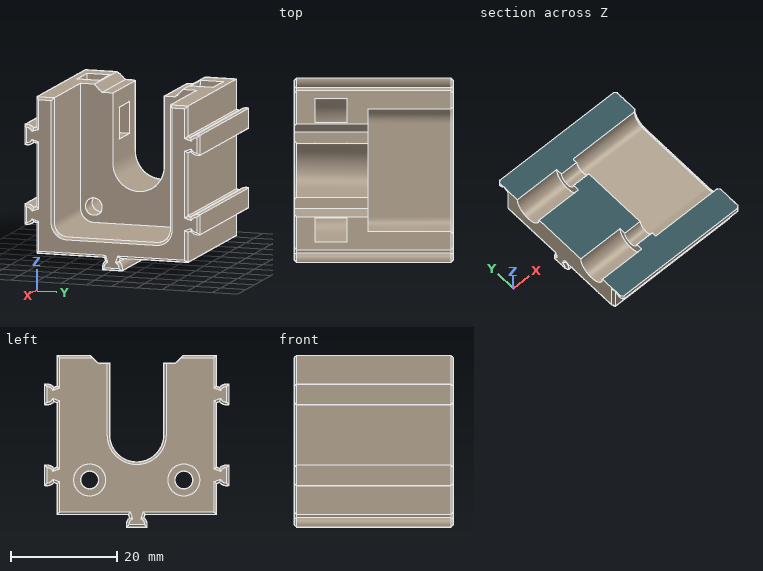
import cadquery as cq

body_size = 30.0
half_width = body_size / 2
edge_chamfer = 0.5

width_over_rails = 34.8
rail_height = (width_over_rails - body_size) / 2
rail_root_half = 1.55
rail_neck_half = 1.35
rail_neck_height = 0.6
rail_tip_half = 1.9
rail_flank_radius = 1.77
side_rail_offset = 7.62

slot_radius = 5.08
slot_center_z = body_size / 2

front_wall = 13.92
pocket_half_width = 11.52
pocket_floor_z = body_size / 2 - pocket_half_width
pocket_fillet = 2.65

seat_radius = 11.52
seat_center_z = 37.48
seat_flat_z = 28.5

channel_start_x = 3.95
channel_width = 6.02
channel_outer_y = 13.5
channel_inner_y = 9.0
channel_floor_z = 19.0
channel_bend_radius = 5.0

screw_y = 8.87
screw_z = 6.5
screw_diameter = 3.3
screw_head_diameter = 6.02
screw_head_depth = 10.0


def side_profile(x=0):
    """Sketch plane facing +X: local x is the part's Y, local y is its Z."""
    return cq.Workplane("YZ", origin=(x, 0, 0))


def rail():
    """Rail on the plane Z = 0 pointing down: flared root, narrow neck, bulging flanks."""
    return (
        side_profile()
        .moveTo(-rail_root_half, 0)
        .lineTo(-rail_neck_half, -rail_neck_height)
        .radiusArc((-rail_tip_half, -rail_height), -rail_flank_radius)
        .lineTo(rail_tip_half, -rail_height)
        .radiusArc((rail_neck_half, -rail_neck_height), -rail_flank_radius)
        .lineTo(rail_root_half, 0)
        .close()
        .extrude(body_size)
    )


def railed_body():
    block = side_profile().rect(body_size, body_size).extrude(body_size)
    bottom_rail = rail().translate((0, 0, -half_width))
    block = block.union(bottom_rail)
    for side in (-1, 1):
        side_rail = bottom_rail.rotate((0, 0, 0), (1, 0, 0), side * 90)
        for offset in (-side_rail_offset, side_rail_offset):
            block = block.union(side_rail.translate((0, 0, offset)))
    return block.translate((0, 0, half_width))


def slot():
    return (
        side_profile()
        .moveTo(-slot_radius, body_size)
        .lineTo(-slot_radius, slot_center_z)
        .threePointArc((0, slot_center_z - slot_radius), (slot_radius, slot_center_z))
        .lineTo(slot_radius, body_size)
        .close()
        .extrude(body_size)
    )


def rear_pocket():
    height = body_size - pocket_floor_z
    return (
        side_profile(front_wall)
        .center(0, pocket_floor_z + height / 2)
        .rect(2 * pocket_half_width, height)
        .extrude(body_size - front_wall)
        .edges("|X and <Z")
        .fillet(pocket_fillet)
    )


def seat():
    cylinder = side_profile().center(0, seat_center_z).circle(seat_radius).extrude(front_wall)
    below_flat = (
        side_profile()
        .center(0, seat_flat_z - seat_radius)
        .rect(2 * seat_radius, 2 * seat_radius)
        .extrude(front_wall)
    )
    return cylinder.cut(below_flat)


def channel():
    """Channel on the +Y side: drops from the top face and bends into the slot."""
    outer_bend_y = channel_outer_y - channel_bend_radius
    outer_bend_z = channel_floor_z + channel_bend_radius
    inner_bend_y = channel_inner_y - channel_bend_radius
    roof_z = body_size - channel_bend_radius
    return (
        side_profile(channel_start_x)
        .moveTo(0, channel_floor_z)
        .lineTo(outer_bend_y, channel_floor_z)
        .radiusArc((channel_outer_y, outer_bend_z), -channel_bend_radius)
        .lineTo(channel_outer_y, body_size)
        .lineTo(channel_inner_y, body_size)
        .radiusArc((inner_bend_y, roof_z), channel_bend_radius)
        .lineTo(0, roof_z)
        .close()
        .extrude(channel_width)
    )


def screw_holes():
    centers = [(-screw_y, screw_z), (screw_y, screw_z)]
    heads = side_profile().pushPoints(centers).circle(screw_head_diameter / 2).extrude(screw_head_depth)
    shanks = side_profile().pushPoints(centers).circle(screw_diameter / 2).extrude(front_wall)
    return heads.union(shanks)


body = railed_body().cut(slot()).cut(rear_pocket())
body = body.faces("<X or >X").edges().chamfer(edge_chamfer)

body = body.cut(seat())
body = body.cut(channel()).cut(channel().mirror("XZ"))
result = body.cut(screw_holes())